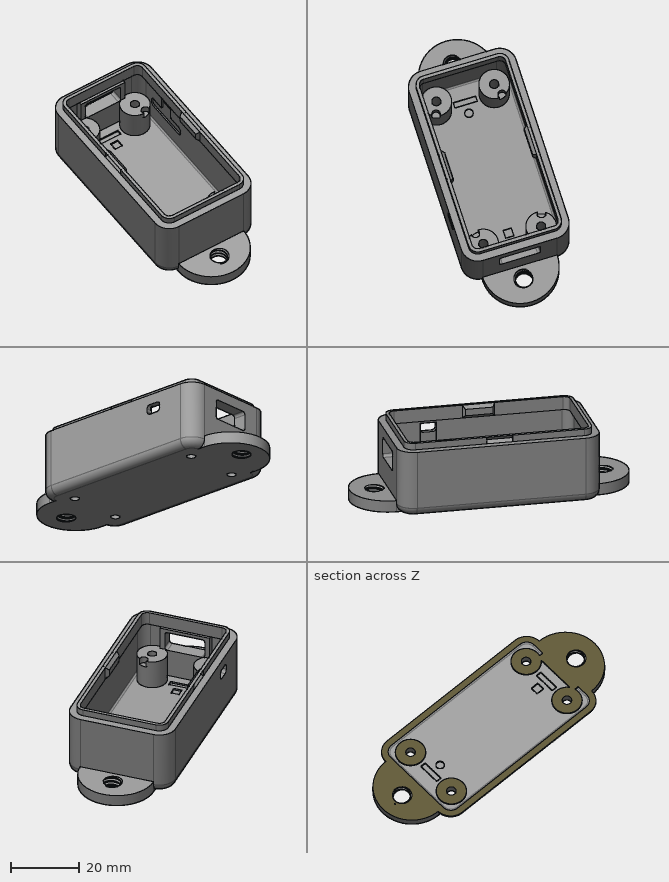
import cadquery as cq

body_length = 60.8
body_width = 32.8
body_corner_radius = 5.0
bottom_edge_radius = 2.5
total_height = 22.0
wall = 2.0

lip_rise = 2.0
lip_height = 2 * lip_rise
lip_thickness = 1.0
lip_clearance = 0.2

shoulder_z = total_height - lip_rise
lip_bottom_z = total_height - lip_height
cavity_length = body_length - 2 * wall
cavity_width = body_width - 2 * wall
cavity_corner_radius = body_corner_radius - wall
floor_edge_radius = bottom_edge_radius - wall
lip_length = cavity_length - 2 * lip_clearance
lip_width = cavity_width - 2 * lip_clearance
lip_corner_radius = cavity_corner_radius - lip_clearance
opening_length = lip_length - 2 * lip_thickness
opening_width = lip_width - 2 * lip_thickness
opening_corner_radius = lip_corner_radius - lip_thickness

catch_length = 9.6
catch_depth = 1.0
catch_end_slope = 0.7
catch_edge_slope = 1.0
groove_length = 7.9
groove_depth = 1.2
groove_apex_drop = 1.2

ear_span = 83.7
ear_radius = (ear_span - body_length) / 2
ear_thickness = 3.5
ear_hole_x = 34.4
thread_minor_diameter = 5.1
thread_major_diameter = 6.0
thread_pitch = 1.25
thread_mouth_width = 1.2
thread_root_width = 0.2
thread_overlap = 0.1

post_x = 22.9
post_y = 8.9
post_diameter = 9.0
post_top_z = 11.0
post_hole_diameter = 2.7
relief_x = 19.2
relief_y = 10.1
relief_diameter = 2.5
relief_depth = 2.0

floor_pocket_depth = 0.5
floor_slot_width = 1.7
floor_slot_length = 6.9
key_x = 19.25
key_size = 2.5

pad_width = 15.5
pad_thickness = 2.0
window_width = 12.5
window_bottom_z = 10.8
window_top_z = 16.9
window_corner_radius = 0.8

switch_x = -14.7
switch_width = 4.85
switch_sill_z = 13.9
switch_corner_radius = 1.0
recess_depth = 0.5
recess_length = 15.1
recess_bottom_z = 8.0
recess_shelf_z = 11.1


def rounded_block(length, width, radius, bottom_z, top_z):
    """Block centred on the Z axis with rounded vertical edges."""
    block = cq.Workplane("XY").box(length, width, top_z - bottom_z, centered=(True, True, False))
    return block.edges("|Z").fillet(radius).translate((0, 0, bottom_z))


def span_box(x_range, y_range, z_range):
    """Box between two limits along each axis."""
    size = [high - low for low, high in (x_range, y_range, z_range)]
    box = cq.Workplane("XY").box(*size, centered=False)
    return box.translate((x_range[0], y_range[0], z_range[0]))


def vertical_cylinder(x, y, diameter, bottom_z, top_z):
    cylinder = cq.Workplane("XY").circle(diameter / 2).extrude(top_z - bottom_z)
    return cylinder.translate((x, y, bottom_z))


def snap_catch():
    """Tapered bump on the inner face of the +Y lip side."""
    overlap = lip_thickness / 2
    middle_z = (total_height + lip_bottom_z) / 2
    wall_y = opening_width / 2
    bump = (
        cq.Workplane("XZ", origin=(0, wall_y, middle_z))
        .rect(catch_length, lip_height)
        .workplane(offset=catch_depth)
        .rect(catch_length - 2 * catch_end_slope, lip_height - 2 * catch_edge_slope)
        .loft(ruled=True)
    )
    root = span_box(
        (-catch_length / 2, catch_length / 2), (wall_y, wall_y + overlap), (lip_bottom_z, total_height)
    )
    return bump.union(root)


def snap_groove():
    """V-shaped groove in the outer face of the +Y lip side."""
    outer_y = lip_width / 2
    return (
        cq.Workplane("YZ")
        .moveTo(outer_y, shoulder_z)
        .lineTo(outer_y, total_height)
        .lineTo(outer_y - groove_depth, total_height - groove_apex_drop)
        .close()
        .extrude(groove_length / 2, both=True)
    )


def thread_ridge():
    """Helical ridge that cuts the thread; it starts inside the bore and runs past both ear faces."""
    inner_radius = thread_minor_diameter / 2 - thread_overlap
    root_radius = thread_major_diameter / 2
    helix = cq.Wire.makeHelix(thread_pitch, ear_thickness + 2 * thread_pitch, inner_radius)
    ridge = (
        cq.Workplane("XZ")
        .moveTo(inner_radius, -thread_mouth_width / 2)
        .lineTo(root_radius, -thread_root_width / 2)
        .lineTo(root_radius, thread_root_width / 2)
        .lineTo(inner_radius, thread_mouth_width / 2)
        .close()
        .sweep(cq.Workplane(helix), isFrenet=True)
        .translate((0, 0, -thread_pitch))
    )
    turn = 90 - 360 * ear_thickness / thread_pitch
    return ridge.rotate((0, 0, 0), (0, 0, 1), turn)


def usb_window():
    height = window_top_z - window_bottom_z
    depth = wall + pad_thickness
    window = cq.Workplane("XY").box(depth, window_width, height).edges("|X").fillet(window_corner_radius)
    return window.translate((-body_length / 2 + depth / 2, 0, (window_top_z + window_bottom_z) / 2))


def switch_opening():
    """Through window, the vertical recess below it and the cross recess at the bottom."""
    inner_y = cavity_width / 2
    recess_y = (inner_y, inner_y + recess_depth)
    switch_range = (switch_x - switch_width / 2, switch_x + switch_width / 2)
    cross_range = (switch_x - recess_length / 2, switch_x + recess_length / 2)
    window = span_box(switch_range, (inner_y, body_width / 2), (switch_sill_z, window_top_z))
    window = window.edges("|Y").fillet(switch_corner_radius)
    upright = span_box(switch_range, recess_y, (recess_bottom_z, window_top_z))
    cross = span_box(cross_range, recess_y, (recess_bottom_z, recess_shelf_z))
    cross = cross.edges("|Y").fillet(switch_corner_radius)
    return window.union(upright).union(cross)


body = rounded_block(body_length, body_width, body_corner_radius, 0, shoulder_z)
body = body.faces("<Z").edges().fillet(bottom_edge_radius)
ears = cq.Workplane("XY").slot2D(ear_span, 2 * ear_radius).extrude(ear_thickness)
lip = rounded_block(lip_length, lip_width, lip_corner_radius, lip_bottom_z, total_height)
result = body.union(ears).union(lip)

cavity = rounded_block(cavity_length, cavity_width, cavity_corner_radius, wall, lip_bottom_z)
cavity = cavity.faces("<Z").edges().fillet(floor_edge_radius)
opening = rounded_block(opening_length, opening_width, opening_corner_radius, lip_bottom_z, total_height)
result = result.cut(cavity).cut(opening)

for side_angle in (0, 180):
    result = result.union(snap_catch().rotate((0, 0, 0), (0, 0, 1), side_angle))
    result = result.cut(snap_groove().rotate((0, 0, 0), (0, 0, 1), side_angle))

pad = span_box(
    (-body_length / 2 + wall / 2, -cavity_length / 2 + pad_thickness),
    (-pad_width / 2, pad_width / 2),
    (wall / 2, lip_bottom_z),
)
result = result.union(pad).cut(usb_window()).cut(switch_opening())

for x_side in (-1, 1):
    for y_side in (-1, 1):
        x = x_side * post_x
        y = y_side * post_y
        post = vertical_cylinder(x, y, post_diameter, wall / 2, post_top_z)
        hole = vertical_cylinder(x, y, post_hole_diameter, 0, post_top_z)
        relief = vertical_cylinder(
            x_side * relief_x, y_side * relief_y, relief_diameter, post_top_z - relief_depth, post_top_z
        )
        result = result.union(post).cut(hole).cut(relief)

floor_pocket_bottom_z = wall - floor_pocket_depth
for x_side in (-1, 1):
    slot = cq.Workplane("XY").rect(floor_slot_width, floor_slot_length).extrude(floor_pocket_depth)
    result = result.cut(slot.translate((x_side * post_x, 0, floor_pocket_bottom_z)))
square_key = cq.Workplane("XY").rect(key_size, key_size).extrude(floor_pocket_depth)
result = result.cut(square_key.translate((-key_x, 0, floor_pocket_bottom_z)))
result = result.cut(vertical_cylinder(key_x, 0, key_size, floor_pocket_bottom_z, wall))

for x_side in (-1, 1):
    x = x_side * ear_hole_x
    bore = vertical_cylinder(x, 0, thread_minor_diameter, 0, ear_thickness)
    result = result.cut(thread_ridge().translate((x, 0, 0))).cut(bore)